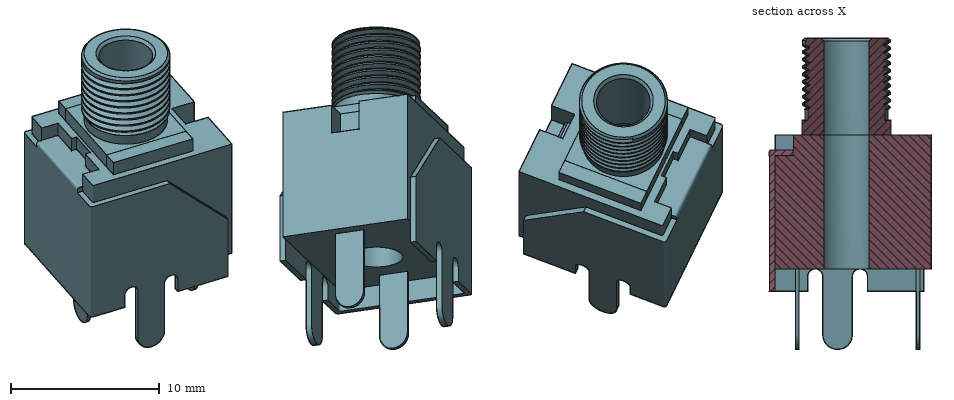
import cadquery as cq
import math


SHELL_WIDTH = 9.8
SHELL_DEPTH = 10.4
SHELL_HEIGHT = 9.1
SHEET = 0.4
BEND_RADIUS = 0.2
INNER_BEND_RADIUS = 0.1
SLOPE_RUN = 4.4

LEG_WIDTH = 2.0
LEG_LENGTH = 3.9
EAR_Y = -0.6
EAR_SLOT_WIDTH = 1.0
EAR_SLOT_HEIGHT = 1.5

TAB_WIDTH = 6.0
TAB_BACK_Y = -3.57
TONGUE_WIDTH = 2.0
TONGUE_BACK_Y = -3.2
TAB_TOP = SHELL_HEIGHT + SHEET

HOUSING_WIDTH = SHELL_WIDTH - 2 * SHEET
HOUSING_FRONT_Y = -SHELL_DEPTH / 2 + SHEET
HOUSING_BACK_Y = 5.7
HOUSING_BOTTOM = EAR_SLOT_HEIGHT
HOUSING_TOP = 10.5

NOTCH_WIDTH = 2.0
NOTCH_FRONT_Y = 4.0
NOTCH_STEP_Y = 4.7
NOTCH_STEP_CHAMFER = 0.2
NOTCH_DEPTH = 1.5
NOTCH_STEP_DEPTH = 2.0

PIN_THICKNESS = 0.25
PIN_INSERTION = 2.0
PIN_CENTRES_Y = (-3.3, 4.8)

FLANGE_SIZE = 6.0
FLANGE_THICKNESS = 1.0
BAR_WIDTH = 1.0
BORE_DIAMETER = 3.6
BORE_CHAMFER = 0.2
NECK_DIAMETER = 5.6
NECK_HEIGHT = 0.7
BUSHING_TOP = 17.0

THREAD_DIAMETER = 5.93
ROOT_DIAMETER = 5.35
THREAD_PITCH = 0.5
THREAD_FLANK_ANGLE = 34.0
GROOVE_START = 11.94
GROOVE_TURNS = 9.6
GROOVE_OVERCUT = 0.1


def box(x_size, y_min, y_max, z_min, z_max, x_centre=0):
    """Block centred on x_centre in X, between the given limits in Y and Z."""
    block = cq.Workplane("XY").box(x_size, y_max - y_min, z_max - z_min, centered=(True, False, False))
    return block.translate((x_centre, y_min, z_min))


def tab_outline(z_min, z_max):
    """T-shaped tab area, from the outer shell front to the tip of its tongue."""
    plate = box(TAB_WIDTH, -SHELL_DEPTH / 2, TAB_BACK_Y, z_min, z_max)
    tongue = box(TONGUE_WIDTH, TAB_BACK_Y, TONGUE_BACK_Y, z_min, z_max)
    return plate.union(tongue)


def leg_outline(plane):
    """Flat outline of a leg with a round tip, starting at the top of the ear slots."""
    half = LEG_WIDTH / 2
    return (
        cq.Workplane(plane)
        .moveTo(-half, EAR_SLOT_HEIGHT)
        .lineTo(-half, half - LEG_LENGTH)
        .threePointArc((0, -LEG_LENGTH), (half, half - LEG_LENGTH))
        .lineTo(half, EAR_SLOT_HEIGHT)
        .close()
    )


def make_shell():
    half_depth = SHELL_DEPTH / 2
    walls = box(SHELL_WIDTH, -half_depth, half_depth, 0, SHELL_HEIGHT)
    walls = walls.edges("|Z and <Y").fillet(BEND_RADIUS)
    cavity = box(HOUSING_WIDTH, HOUSING_FRONT_Y, half_depth, 0, SHELL_HEIGHT)
    walls = walls.cut(cavity.edges("|Z and <Y").fillet(INNER_BEND_RADIUS))

    slope = (
        cq.Workplane("YZ")
        .moveTo(half_depth, SHELL_HEIGHT)
        .lineTo(half_depth - SLOPE_RUN, SHELL_HEIGHT)
        .lineTo(half_depth, SHELL_HEIGHT - SLOPE_RUN)
        .close()
        .extrude(SHELL_WIDTH / 2, both=True)
    )
    walls = walls.cut(slope)

    slot_radius = EAR_SLOT_WIDTH / 2
    slot_offset = (LEG_WIDTH + EAR_SLOT_WIDTH) / 2
    for slot_y in (EAR_Y - slot_offset, EAR_Y + slot_offset):
        slot = (
            cq.Workplane("YZ")
            .moveTo(slot_y - slot_radius, 0)
            .lineTo(slot_y - slot_radius, EAR_SLOT_HEIGHT - slot_radius)
            .threePointArc((slot_y, EAR_SLOT_HEIGHT), (slot_y + slot_radius, EAR_SLOT_HEIGHT - slot_radius))
            .lineTo(slot_y + slot_radius, 0)
            .close()
            .extrude(SHELL_WIDTH / 2, both=True)
        )
        walls = walls.cut(slot)

    for ear_x in (-SHELL_WIDTH / 2, SHELL_WIDTH / 2 - SHEET):
        walls = walls.union(leg_outline("YZ").extrude(SHEET).translate((ear_x, EAR_Y, 0)))

    tab = tab_outline(SHELL_HEIGHT, TAB_TOP).edges("|X and >Z and <Y").fillet(BEND_RADIUS)
    return walls.union(tab)


def make_pin(pin_y):
    leg = leg_outline("XZ").extrude(PIN_THICKNESS / 2, both=True)
    half = PIN_THICKNESS / 2
    root = box(LEG_WIDTH, -half, half, HOUSING_BOTTOM, HOUSING_BOTTOM + PIN_INSERTION)
    return leg.union(root).translate((0, pin_y, 0))


def notch_cutter():
    """Back notch: a shelf in front, a chamfered step, then a lower floor open to the back."""
    shelf_z = HOUSING_TOP - NOTCH_DEPTH
    floor_z = HOUSING_TOP - NOTCH_STEP_DEPTH
    return (
        cq.Workplane("YZ")
        .moveTo(NOTCH_FRONT_Y, HOUSING_TOP)
        .lineTo(NOTCH_FRONT_Y, shelf_z)
        .lineTo(NOTCH_STEP_Y - NOTCH_STEP_CHAMFER, shelf_z)
        .lineTo(NOTCH_STEP_Y, shelf_z - NOTCH_STEP_CHAMFER)
        .lineTo(NOTCH_STEP_Y, floor_z)
        .lineTo(HOUSING_BACK_Y, floor_z)
        .lineTo(HOUSING_BACK_Y, HOUSING_TOP)
        .close()
        .extrude(NOTCH_WIDTH / 2, both=True)
    )


def make_housing(pins):
    body = box(HOUSING_WIDTH, HOUSING_FRONT_Y, HOUSING_BACK_Y, HOUSING_BOTTOM, HOUSING_TOP)
    body = body.edges("|Z and <Y").fillet(INNER_BEND_RADIUS)
    body = body.cut(tab_outline(SHELL_HEIGHT, HOUSING_TOP))
    body = body.cut(notch_cutter())
    bore = cq.Workplane("XY").circle(BORE_DIAMETER / 2).extrude(HOUSING_TOP)
    body = body.cut(bore)
    for pin in pins:
        body = body.cut(pin)
    return body


def thread_groove():
    """V groove swept along a helix; its mouth lies a little outside the thread crest."""
    root_radius = ROOT_DIAMETER / 2
    mouth_radius = THREAD_DIAMETER / 2 + GROOVE_OVERCUT
    half_mouth = (mouth_radius - root_radius) * math.tan(math.radians(THREAD_FLANK_ANGLE))
    helix = cq.Wire.makeHelix(THREAD_PITCH, GROOVE_TURNS * THREAD_PITCH, root_radius)
    groove = (
        cq.Workplane("XZ")
        .moveTo(root_radius, 0)
        .lineTo(mouth_radius, half_mouth)
        .lineTo(mouth_radius, -half_mouth)
        .close()
        .sweep(cq.Workplane(helix), isFrenet=True)
    )
    return groove.translate((0, 0, GROOVE_START))


def make_bushing():
    flange_top = HOUSING_TOP + FLANGE_THICKNESS
    neck_top = flange_top + NECK_HEIGHT
    half = FLANGE_SIZE / 2
    flange = box(FLANGE_SIZE, -half, half, HOUSING_TOP, flange_top)
    neck = cq.Workplane("XY", origin=(0, 0, flange_top)).circle(NECK_DIAMETER / 2).extrude(NECK_HEIGHT)
    crest = cq.Workplane("XY", origin=(0, 0, neck_top)).circle(THREAD_DIAMETER / 2)
    crest = crest.extrude(BUSHING_TOP - neck_top)
    crest = crest.edges().chamfer((THREAD_DIAMETER - NECK_DIAMETER) / 2)
    barrel = crest.cut(thread_groove()).union(neck).union(flange)
    bore = cq.Workplane("XY").circle(BORE_DIAMETER / 2).extrude(BUSHING_TOP)
    bore = bore.union(
        cq.Workplane("XY", origin=(0, 0, BUSHING_TOP - BORE_CHAMFER))
        .circle(BORE_DIAMETER / 2)
        .workplane(offset=BORE_CHAMFER)
        .circle(BORE_DIAMETER / 2 + BORE_CHAMFER)
        .loft()
    )
    return barrel.cut(bore)


def make_bar(side):
    """Retaining bar beside the flange; side is -1 or 1 along X."""
    half = FLANGE_SIZE / 2
    bar_x = side * (half + BAR_WIDTH / 2)
    return box(BAR_WIDTH, -half, half, HOUSING_TOP, HOUSING_TOP + FLANGE_THICKNESS, bar_x)


shell = make_shell()
pins = [make_pin(pin_y) for pin_y in PIN_CENTRES_Y]
housing = make_housing(pins)
bushing = make_bushing()
bars = [make_bar(side) for side in (-1, 1)]

result = cq.Compound.makeCompound(
    [
        shell.solids().val(),
        housing.solids().val(),
        bushing.solids().val(),
        *[pin.solids().val() for pin in pins],
        *[bar.solids().val() for bar in bars],
    ]
)